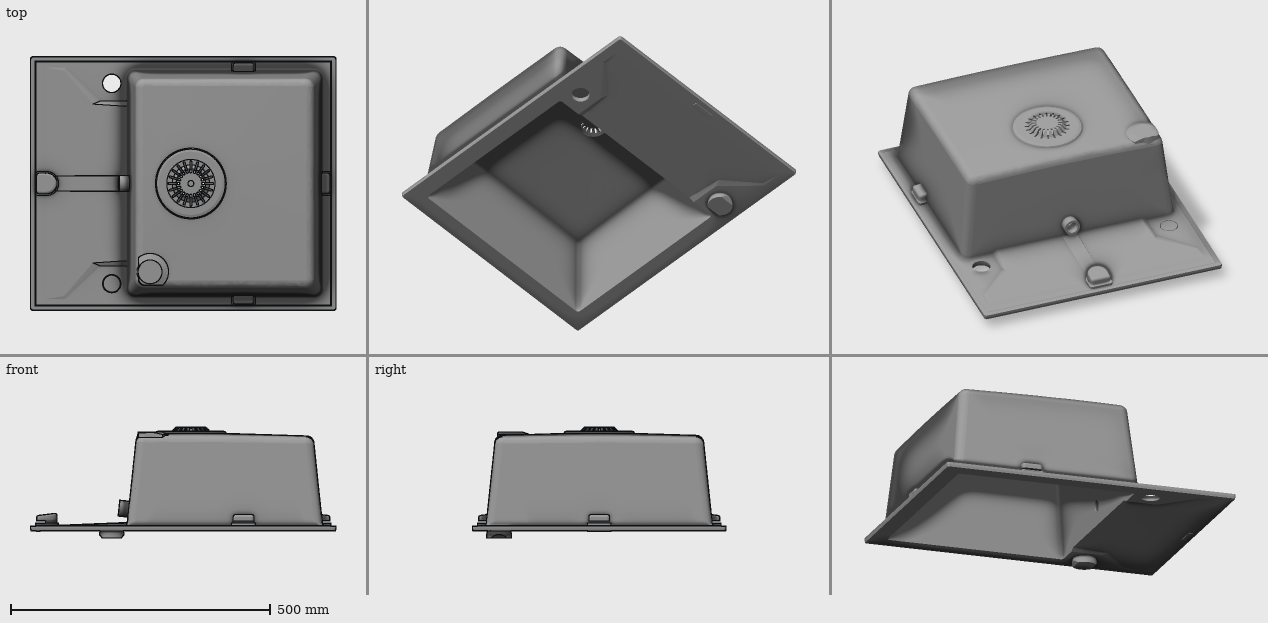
import cadquery as cq
import math


margin = 1.0

deck_length = 590.01
deck_width = 490.01
deck_edge_height = 9.0
deck_corner_radius = 5.0
edge_draft_height = deck_edge_height / 2
edge_draft_inset = 1.0
rim_width = 9.0
rim_step_height = 1.0
rim_step_run = 1.8
deck_face = deck_edge_height + rim_step_height

wall = 10.0
bowl_x = 80.2
bowl_length = 377.9
bowl_width = 437.4
bowl_draft = 6.0
bowl_corner_radius = 16.0
roof_edge_radius = 15.0
toe_radius = 4.5
roof_apex = 190.5
roof_fall = 0.0315
roof_cone_radius = 500.0
roof_cone_floor = -100.0
block_height = 200.0

drain_x = 14.7
boss_radius = 70.0
boss_face_radius = 61.0
boss_bevel_radius = 66.3
boss_bevel_z = 191.5
boss_top = 193.0
boss_root = 186.0
strainer_radius = 46.5
strainer_top = 200.5
strainer_bottom = 179.0
strainer_skin = 3.0
strainer_bore_radius = 26.0
dome_base_radius = 36.0
dome_top_radius = 28.5
slot_count = 20
slot_width = 3.6
slot_inner_radius = 21.0
slot_outer_radius = 44.0
screw_radius = 5.7

foot_x = -64.0
foot_y = -170.5
foot_top = 191.0
foot_top_radius = 23.0
foot_root_radius = 27.5
foot_root = 168.0
skirt_radius = 35.6
skirt_height = 5.0
skirt_depth = 8.0
skirt_wall_setback = 4.0

panel_left = -264.5
panel_right = -80.0
panel_half_width = 223.0
panel_rise = 5.0
panel_side_lean = 2.1
panel_diagonal_lean = 4.8
shoulder_x = -227.5
elbow_x = -160.0
elbow_half_width = 159.4
strip_half_width = 16.5
strip_rise = 6.4
strip_chamfer = 2.0

tap_x = -138.0
tap_y = 193.3
tap_hole_radius = 17.6
knob_shank_radius = 16.5
knob_root_radius = 22.5
knob_radius = 24.0
knob_flare_height = 6.0
knob_height = 13.7
knob_flat_start = 7.0
knob_tip_half_width = 18.5

pipe_z = 42.0
pipe_radius = 15.5
pipe_bore_radius = 11.0
pipe_reach = 19.0

clamp_inset = 10.0
clamp_foot_width = 46.0
clamp_foot_height = 5.0
clamp_head_width = 40.0
clamp_head_bottom = 19.5
clamp_head_outer_top = 29.5
clamp_roof_slope = 0.13
clamp_corner_radius = 5.0
clamp_head_inset = 2.0
clamp_edge_radius = 4.5
clamp_slot_depth = 19.0
side_clamp_depth = 22.0
end_clamp_straight = 21.5
side_clamp_x = 116.5

badge_x = -280.0
badge_length = 7.0
badge_width = 45.0
badge_height = 1.5


def cone_on_z(x, y, profile):
    """Solid of revolution about a vertical axis; profile lists (radius, z)."""
    return (cq.Workplane("XZ").polyline(profile).close()
            .revolve(360, (0, 0, 0), (0, 1, 0)).translate((x, y, 0)))


def drafted_block(offset):
    """Tapered bowl block without a roof, shrunk inward by offset."""
    taper = math.tan(math.radians(bowl_draft))

    def section(z):
        shrink = offset + (z - deck_face) * taper
        outline = cq.Sketch().rect(bowl_length - 2 * shrink, bowl_width - 2 * shrink)
        rounded = outline.vertices().fillet(bowl_corner_radius - offset)
        return rounded.moved(cq.Location(cq.Vector(0, 0, z)))

    base = cq.Workplane("XY", origin=(bowl_x, 0, 0))
    return base.placeSketch(section(0), section(block_height)).loft()


def bowl_block(offset):
    """Tapered bowl with a conical roof and rounded roof edges, shrunk by offset."""
    apex = roof_apex - offset
    roof = cone_on_z(drain_x, 0, [
        (0, roof_cone_floor),
        (roof_cone_radius, roof_cone_floor),
        (roof_cone_radius, apex - roof_fall * roof_cone_radius),
        (0, apex)])
    block = drafted_block(offset).intersect(roof)
    return block.faces(">Z").edges().fillet(roof_edge_radius - offset)



def make_deck():
    draft = math.degrees(math.atan(edge_draft_inset / edge_draft_height))
    outline = cq.Sketch().rect(deck_length, deck_width).vertices().fillet(deck_corner_radius)
    middle = cq.Workplane("XY", origin=(0, 0, edge_draft_height)).placeSketch(outline)
    upper = middle.extrude(deck_edge_height - edge_draft_height)
    lower = middle.extrude(-edge_draft_height, taper=draft)
    step = (cq.Workplane("XY", origin=(0, 0, deck_edge_height))
            .rect(deck_length - 2 * rim_width, deck_width - 2 * rim_width)
            .extrude(rim_step_height, taper=math.degrees(math.atan(rim_step_run / rim_step_height))))
    return upper.union(lower).union(step)


def slope_block(floor_z, base_z, rise, half_width):
    """Block whose top climbs from base_z at the panel's left edge by rise at the bowl wall."""
    bowl_left = bowl_x - bowl_length / 2
    end_height = rise * (panel_right - panel_left) / (bowl_left - panel_left)
    return (cq.Workplane("XZ")
            .moveTo(panel_left, base_z)
            .lineTo(panel_left, floor_z)
            .lineTo(panel_right, floor_z)
            .lineTo(panel_right, base_z + end_height)
            .close()
            .extrude(half_width, both=True))


def leaning_plate(half_outline, lean, base_z):
    """Plate symmetric about Y = 0 whose sides lean inward by lean per unit of height."""
    mirrored = [(x, -y) for x, y in reversed(half_outline)]
    return (cq.Workplane("XY", origin=(0, 0, base_z))
            .polyline(half_outline + mirrored).close()
            .extrude(2 * panel_rise, taper=math.degrees(math.atan(lean))))


def make_panel(base_z):
    """Draining panel that climbs towards the bowl: a straight middle and a wider part with diagonal sides."""
    middle = leaning_plate(
        [(panel_left, elbow_half_width), (panel_right, elbow_half_width)],
        panel_side_lean, base_z)
    diagonal_slope = (panel_half_width - elbow_half_width) / (elbow_x - shoulder_x)
    far_half_width = panel_half_width - diagonal_slope * (panel_right - shoulder_x)
    wide = leaning_plate(
        [(panel_left, panel_half_width), (shoulder_x, panel_half_width), (panel_right, far_half_width)],
        panel_diagonal_lean, base_z)
    slope = slope_block(base_z - margin, base_z, panel_rise, panel_half_width)
    return middle.union(wide).intersect(slope)


def make_strip():
    """Narrow rib running up the middle of the panel from the end clamp to the overflow pipe."""
    strip = slope_block(deck_edge_height / 2, deck_face, strip_rise, strip_half_width)
    return strip.faces(">Z").edges("not |Y").chamfer(strip_chamfer)


def make_boss():
    return cone_on_z(drain_x, 0, [
        (0, boss_root),
        (boss_radius, boss_root),
        (boss_bevel_radius, boss_bevel_z),
        (boss_face_radius, boss_top),
        (0, boss_top)])


def make_foot():
    """Round foot over one bowl corner, with a flare running out onto the roof."""
    post = cone_on_z(foot_x, foot_y, [
        (0, foot_root),
        (foot_root_radius, foot_root),
        (foot_top_radius, foot_top),
        (0, foot_top)])
    skirt_edge_z = foot_top - skirt_height
    skirt = cone_on_z(foot_x, foot_y, [
        (0, skirt_edge_z - skirt_depth),
        (skirt_radius, skirt_edge_z - skirt_depth),
        (skirt_radius, skirt_edge_z),
        (foot_top_radius, foot_top),
        (0, foot_top)])
    return post.intersect(drafted_block(0)).union(skirt.intersect(drafted_block(skirt_wall_setback)))


def cylinder(x, y, bottom, top, radius):
    return cq.Workplane("XY", origin=(x, y, bottom)).circle(radius).extrude(top - bottom)


def fillet_toe(body):
    """Round the low edges running along the foot of the bowl walls."""
    half_length = bowl_length / 2 + margin
    half_width = bowl_width / 2 + margin
    toe_edges = cq.selectors.BoxSelector(
        (bowl_x - half_length, -half_width, deck_face - margin),
        (bowl_x + half_length, half_width, deck_face + panel_rise + margin))
    return body.edges(toe_edges).fillet(toe_radius)


def make_sink():
    body = fillet_toe(make_deck().union(make_panel(deck_face)).union(bowl_block(0)))
    body = body.union(make_strip()).union(make_boss()).union(make_foot())
    body = body.cut(make_panel(0)).cut(bowl_block(wall))
    body = body.cut(cylinder(drain_x, 0, strainer_bottom - wall, boss_top, strainer_radius))
    for side in (-1, 1):
        body = body.cut(cylinder(tap_x, side * tap_y, 0, deck_face + panel_rise, tap_hole_radius))
    return body



def make_strainer():
    skin = strainer_skin
    basket = cone_on_z(0, 0, [
        (strainer_radius, strainer_bottom),
        (strainer_radius, boss_top),
        (dome_base_radius, boss_top),
        (dome_top_radius, strainer_top),
        (0, strainer_top),
        (0, strainer_top - skin),
        (strainer_bore_radius, strainer_top - skin),
        (strainer_bore_radius, strainer_bottom)])
    slot_length = slot_outer_radius - slot_inner_radius
    slots = (cq.Workplane("XY", origin=(0, 0, boss_top - skin))
             .polarArray((slot_inner_radius + slot_outer_radius) / 2, 0, 360, slot_count)
             .slot2D(slot_length, slot_width)
             .extrude(strainer_top - boss_top + skin))
    basket = basket.cut(slots)
    basket = basket.cut(cylinder(0, 0, strainer_bottom, strainer_top, screw_radius))
    return basket.translate((drain_x, 0, 0))


def make_screw():
    return cylinder(drain_x, 0, strainer_top - strainer_skin, strainer_top, screw_radius)



def make_knob():
    knob = cone_on_z(0, 0, [
        (0, deck_face),
        (knob_shank_radius, deck_face),
        (knob_shank_radius, 0),
        (knob_root_radius, 0),
        (knob_radius, -knob_flare_height),
        (knob_radius, -knob_height),
        (0, -knob_height)])
    for side in (-1, 1):
        flat = (cq.Workplane("XZ")
                .polyline([(side * knob_radius, -knob_flat_start),
                           (side * knob_tip_half_width, -knob_height),
                           (side * knob_radius, -knob_height)])
                .close()
                .extrude(knob_radius, both=True))
        knob = knob.cut(flat)
    return knob.translate((tap_x, -tap_y, 0))



def make_pipe_rod(radius):
    """Round bar square to the sloping left wall of the bowl, from its free end to inside the bowl."""
    wall_x = bowl_x - bowl_length / 2 + (pipe_z - deck_face) * math.tan(math.radians(bowl_draft))
    axis = cq.Vector(math.cos(math.radians(bowl_draft)), 0, -math.sin(math.radians(bowl_draft)))
    start = cq.Vector(wall_x, 0, pipe_z) - axis * pipe_reach
    plane = cq.Plane(origin=start.toTuple(), xDir=(0, 1, 0), normal=axis.toTuple())
    return cq.Workplane(plane).circle(radius).extrude(pipe_reach + wall)



def clamp_layer(width, depth, round_end, bottom, top):
    """Plan outline with its outer face on X = 0, reaching inward along +X."""
    plan = cq.Workplane("XY", origin=(0, 0, bottom)).moveTo(0, -width / 2).lineTo(depth, -width / 2)
    if round_end:
        plan = plan.threePointArc((depth + width / 2, 0), (depth, width / 2))
    else:
        plan = plan.lineTo(depth, width / 2)
    return plan.lineTo(0, width / 2).close().extrude(top - bottom)


def make_clamp(depth, round_end):
    """Foot on the deck and sloping head above it, joined at the inner end behind an open slot."""
    reach = depth + clamp_foot_width
    foot_top_z = deck_face + clamp_foot_height
    foot = clamp_layer(clamp_foot_width, depth, round_end, deck_face, foot_top_z)
    head = clamp_layer(
        clamp_head_width, depth - clamp_head_inset, round_end, deck_face,
        clamp_head_outer_top + clamp_roof_slope * reach)
    foot = foot.edges("|Z and <X").fillet(clamp_corner_radius)
    head = head.edges("|Z and <X").fillet(clamp_corner_radius)

    above_roof = (cq.Workplane("XZ")
                  .polyline([(0, clamp_head_outer_top),
                             (0, clamp_head_outer_top + clamp_roof_slope * reach),
                             (reach, clamp_head_outer_top + clamp_roof_slope * reach)])
                  .close()
                  .extrude(clamp_foot_width, both=True))
    head = head.cut(above_roof)
    roof_edges = head.faces(">Z").edges()
    if not round_end:
        roof_edges = roof_edges.edges("not >X")
    head = roof_edges.fillet(clamp_edge_radius).translate((clamp_head_inset, 0, 0))

    slot = (cq.Workplane("XY", origin=(0, 0, foot_top_z))
            .rect(2 * clamp_slot_depth, 2 * clamp_foot_width)
            .extrude(clamp_head_bottom - foot_top_z))
    return foot.union(head).cut(slot)


def place_clamp(clamp, x, y, angle):
    return clamp.rotate((0, 0, 0), (0, 0, 1), angle).translate((x, y, 0))



def make_badge():
    return (cq.Workplane("XY", origin=(badge_x, 0, -badge_height))
            .rect(badge_length, badge_width).extrude(badge_height))



sink = make_sink()
strainer = make_strainer()
screw = make_screw()
knob = make_knob()
badge = make_badge()

pipe_rod = make_pipe_rod(pipe_radius)
pipe = pipe_rod.cut(make_pipe_rod(pipe_bore_radius))
sink = sink.cut(pipe_rod)

clamp_end_x = deck_length / 2 - clamp_inset
clamp_side_y = deck_width / 2 - clamp_inset
side_clamp = make_clamp(side_clamp_depth, round_end=False)
side_clamps = []
for x, y, angle in [
        (clamp_end_x, 0, 180),
        (side_clamp_x, -clamp_side_y, 90),
        (side_clamp_x, clamp_side_y, -90)]:
    placed = place_clamp(side_clamp, x, y, angle)
    side_clamps.append(placed)
    sink = sink.cut(placed)

end_clamp = place_clamp(make_clamp(end_clamp_straight, round_end=True), -clamp_end_x, 0, 0).cut(sink)

result = cq.Compound.makeCompound([
    sink.val(),
    strainer.val(),
    screw.val(),
    knob.val(),
    pipe.val(),
    *[clamp.val() for clamp in side_clamps],
    end_clamp.val(),
    badge.val(),
])